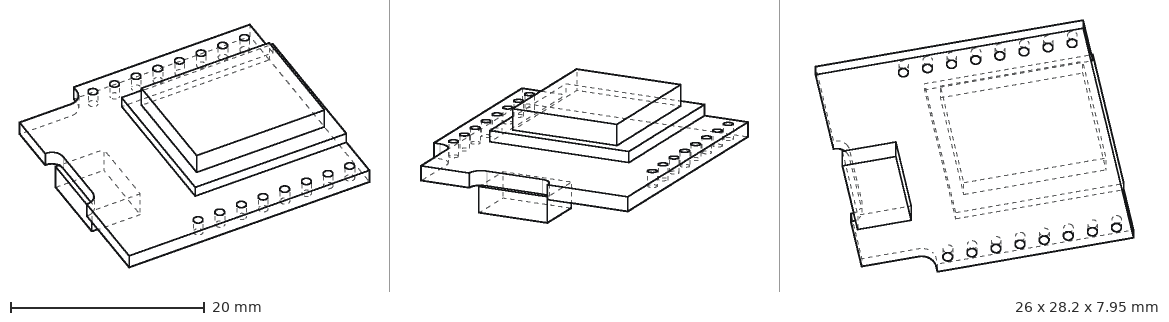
import cadquery as cq

BOARD_WIDTH = 26.0
BOARD_LENGTH = 28.21
BOARD_THICKNESS = 1.6

CORNER_CUT_WIDTH = 2.2
CORNER_CUT_LENGTH = 7.53
CORNER_CUT_RADIUS = 1.5

NOTCH_LEFT = 7.77
NOTCH_WIDTH = 9.0
NOTCH_DEPTH = 1.4
NOTCH_RADIUS = 1.3

PIN_HOLE_DIAMETER = 1.0
PIN_PITCH = 2.54
PINS_PER_ROW = 8
ROW_SPACING_IN_PITCHES = 9
ROW_SPACING = ROW_SPACING_IN_PITCHES * PIN_PITCH
FIRST_PIN_FROM_REAR = 1.48

CARRIER_WIDTH = 16.0
CARRIER_LENGTH = 17.75
CARRIER_THICKNESS = 1.2
CAN_WIDTH = 12.0
CAN_LENGTH = 15.0
CAN_HEIGHT = 2.3
CAN_FROM_REAR = 1.5

CONNECTOR_LEFT = 8.43
CONNECTOR_WIDTH = 7.9
CONNECTOR_LENGTH = 5.65
CONNECTOR_HEIGHT = 2.85
CONNECTOR_FROM_FRONT = 0.85

CENTRE_X = BOARD_WIDTH / 2
FRONT_Y = -BOARD_LENGTH


def block(centre_x, rear_y, bottom_z, width, length, height):
    """Box placed by the middle of its width, its rear face and its bottom face."""
    return (
        cq.Workplane("XY")
        .box(width, length, height, centered=(True, False, False))
        .translate((centre_x, rear_y - length, bottom_z))
    )


def bare_board():
    """Board with the corner cut and the front notch, both with rounded inner corners."""
    corner_y = FRONT_Y + CORNER_CUT_LENGTH
    notch_y = FRONT_Y + NOTCH_DEPTH
    notch_right = NOTCH_LEFT + NOTCH_WIDTH
    return (
        cq.Workplane("XY")
        .lineTo(BOARD_WIDTH, 0)
        .lineTo(BOARD_WIDTH, FRONT_Y)
        .lineTo(notch_right, FRONT_Y)
        .lineTo(notch_right, notch_y - NOTCH_RADIUS)
        .radiusArc((notch_right - NOTCH_RADIUS, notch_y), -NOTCH_RADIUS)
        .lineTo(NOTCH_LEFT + NOTCH_RADIUS, notch_y)
        .radiusArc((NOTCH_LEFT, notch_y - NOTCH_RADIUS), -NOTCH_RADIUS)
        .lineTo(NOTCH_LEFT, FRONT_Y)
        .lineTo(CORNER_CUT_WIDTH, FRONT_Y)
        .lineTo(CORNER_CUT_WIDTH, corner_y - CORNER_CUT_RADIUS)
        .radiusArc((CORNER_CUT_WIDTH - CORNER_CUT_RADIUS, corner_y), -CORNER_CUT_RADIUS)
        .lineTo(0, corner_y)
        .close()
        .extrude(BOARD_THICKNESS)
    )


def pin_holes():
    """Cylinders for both rows of header pin holes."""
    centres = []
    for side in (-1, 1):
        x = CENTRE_X + side * ROW_SPACING / 2
        for index in range(PINS_PER_ROW):
            centres.append((x, -FIRST_PIN_FROM_REAR - index * PIN_PITCH))
    return (
        cq.Workplane("XY")
        .pushPoints(centres)
        .circle(PIN_HOLE_DIAMETER / 2)
        .extrude(BOARD_THICKNESS)
    )


def wireless_module():
    """Carrier plate on the board with the shield can on top."""
    carrier = block(CENTRE_X, 0, BOARD_THICKNESS, CARRIER_WIDTH, CARRIER_LENGTH, CARRIER_THICKNESS)
    can_bottom = BOARD_THICKNESS + CARRIER_THICKNESS
    can = block(CENTRE_X, -CAN_FROM_REAR, can_bottom, CAN_WIDTH, CAN_LENGTH, CAN_HEIGHT)
    return carrier.union(can)


def connector():
    """Connector body below the board, reaching forward under the notch."""
    centre_x = CONNECTOR_LEFT + CONNECTOR_WIDTH / 2
    rear_y = FRONT_Y + CONNECTOR_FROM_FRONT + CONNECTOR_LENGTH
    return block(
        centre_x, rear_y, -CONNECTOR_HEIGHT, CONNECTOR_WIDTH, CONNECTOR_LENGTH, CONNECTOR_HEIGHT
    )


result = bare_board().cut(pin_holes()).union(wireless_module()).union(connector())